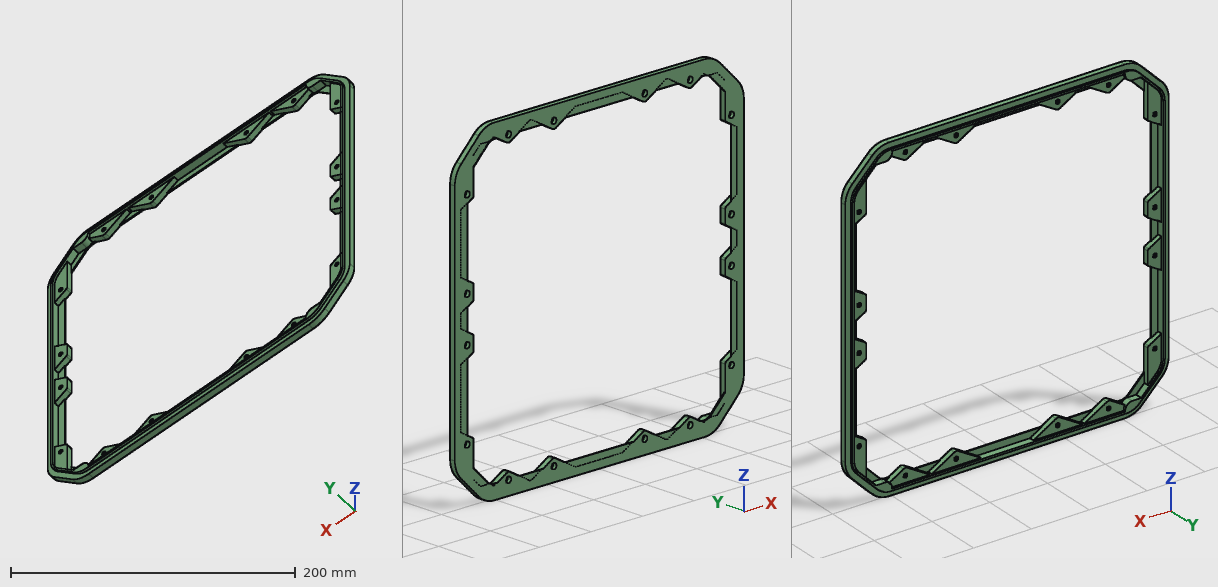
import cadquery as cq
import math

frame_size = 280.0
corner_setback = 29.5
corner_radius = 21.0
frame_width = 12.3
total_depth = 7.0

flange_depth = 5.0
skin_depth = 0.8
rim_inset = 4.8
rim_width = 1.7

boss_reach = 6.0
flank_angle = math.radians(30)
round_tip_radius = 3.0
flat_tip_half = 6.5
flat_tip_radius = 1.7
corner_tip_half = 3.5
row_boss_near = 44.0
row_boss_far = 88.0
side_boss_near = 19.0
side_boss_far = 92.7

pad_start = 100.8
pad_inset = 13.2
pad_radius = 6.2

hole_inset = 12.0
hole_diameter = 3.5
counterbore_diameter = 4.8
counterbore_depth = 3.5

half = frame_size / 2
rim_inner_inset = rim_inset + rim_width
rim_edge = half - rim_inner_inset
opening_edge = half - frame_width
pad_edge = half - pad_inset
hole_edge = half - hole_inset
tip_edge = opening_edge - boss_reach
flare = (rim_edge - tip_edge) * math.tan(flank_angle)


def octagon(inset, depth):
    """Solid corner-cut square, its outline moved inward by inset, from Y = 0 to Y = depth."""
    edge = half - inset
    cut = corner_setback - inset * (2 - math.sqrt(2))
    end = edge - cut
    points = [
        (-end, edge), (end, edge), (edge, end), (edge, -end),
        (end, -edge), (-end, -edge), (-edge, -end), (-edge, end),
    ]
    body = cq.Workplane("XZ").polyline(points).close().extrude(-depth)
    return body.edges("|Y").fillet(corner_radius - inset)


def ring(outer_inset, inner_inset, depth):
    """Band between two inset outlines, from Y = 0 to Y = depth."""
    return octagon(outer_inset, depth).cut(octagon(inner_inset, depth))


def prism(points):
    """Boss body as deep as the flange with the given X, Z outline."""
    return cq.Workplane("XZ").polyline(points).close().extrude(-flange_depth)


def mirrored(body):
    """The body together with its mirror images across X = 0 and Z = 0."""
    pair = body.union(body.mirror("YZ"))
    return pair.union(pair.mirror("XY"))


def row_boss(x):
    """Triangular boss with a rounded tip on the top side."""
    slope = math.tan(flank_angle)
    apex = tip_edge - round_tip_radius * (1 / math.cos(flank_angle) - 1)
    half_base = (rim_edge - apex) / slope
    body = prism([(x - half_base, rim_edge), (x, apex), (x + half_base, rim_edge)])
    return body.edges("|Y").edges("<Z").fillet(round_tip_radius)


def side_boss(z):
    """Flat-tipped boss on the right side."""
    root = flat_tip_half + flare
    body = prism([
        (rim_edge, z - root), (tip_edge, z - flat_tip_half),
        (tip_edge, z + flat_tip_half), (rim_edge, z + root),
    ])
    return body.edges("|Y").edges("<X").fillet(flat_tip_radius)


def corner_boss(z):
    """Side boss whose flat tip runs up into the cut corner."""
    body = prism([
        (rim_edge, z - corner_tip_half - flare), (tip_edge, z - corner_tip_half),
        (tip_edge, rim_edge), (rim_edge, rim_edge),
    ])
    body = body.edges("|Y and <X").edges("<Z").fillet(flat_tip_radius)
    return body.intersect(octagon(rim_inset, flange_depth))


def corner_pad():
    """Full-depth pad behind the web that thickens the rim where it turns into the cut corner."""
    points = [(pad_start, half), (pad_start, pad_edge), (half, pad_edge), (half, half)]
    body = cq.Workplane("XZ").polyline(points).close().extrude(-total_depth)
    body = body.edges("|Y and <X").edges("<Z").fillet(pad_radius)
    return body.intersect(ring(rim_inset, frame_width, total_depth))


def screw_hole(x, z):
    """Cutter for a through hole with a wider recess at the front face."""
    centre = cq.Workplane("XZ").center(x, z)
    through = centre.circle(hole_diameter / 2).extrude(-total_depth)
    recess = centre.circle(counterbore_diameter / 2).extrude(-counterbore_depth)
    return through.union(recess)


frame = ring(0, rim_inner_inset, flange_depth)
frame = frame.union(ring(rim_inset, rim_inner_inset, total_depth))
frame = frame.union(ring(rim_inset, frame_width, skin_depth))

bosses = [
    row_boss(row_boss_near),
    row_boss(row_boss_far),
    side_boss(side_boss_near),
    corner_boss(side_boss_far),
]
for boss in bosses:
    frame = frame.union(mirrored(boss))
frame = frame.union(mirrored(corner_pad()))

hole_places = [
    (row_boss_near, hole_edge), (row_boss_far, hole_edge),
    (hole_edge, side_boss_near), (hole_edge, side_boss_far),
]
for x, z in hole_places:
    frame = frame.cut(mirrored(screw_hole(x, z)))

result = frame.solids()